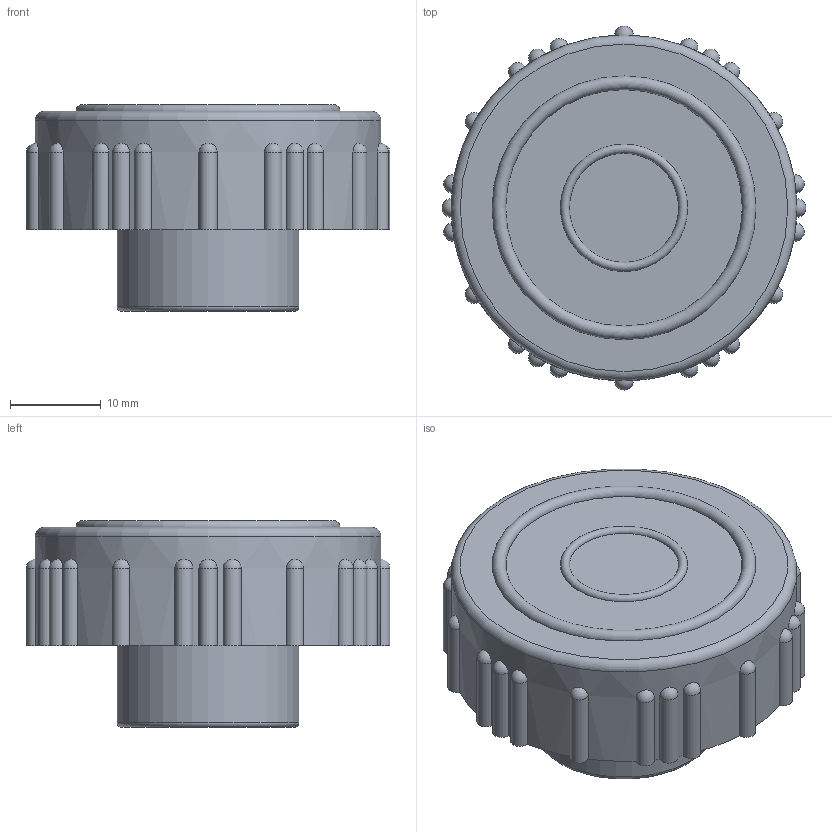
import cadquery as cq


hub_diameter = 20.0
hub_height = 9.0
hub_fillet = 0.5

head_diameter = 38.0
head_top = 22.0
head_fillet = 1.0

rib_radius = 1.0
rib_straight_length = 8.5
group_count = 6
group_pitch = 360.0 / group_count
rib_spacing = 8.0

outer_ring_radius = 13.75
outer_ring_section_radius = 0.75
inner_ring_radius = 6.5
inner_ring_section_radius = 0.5


def make_hub():
    hub = cq.Workplane("XY").circle(hub_diameter / 2).extrude(hub_height)
    return hub.faces("<Z").edges().fillet(hub_fillet)


def make_head():
    head = (
        cq.Workplane("XY")
        .workplane(offset=hub_height)
        .circle(head_diameter / 2)
        .extrude(head_top - hub_height)
    )
    return head.faces(">Z").edges().fillet(head_fillet)


def make_rib(angle):
    """Domed bar centred on the head's side wall, as one revolved profile."""
    dome_start = hub_height + rib_straight_length
    dome_tip = dome_start + rib_radius
    rib = (
        cq.Workplane("XZ")
        .moveTo(0, hub_height)
        .lineTo(rib_radius, hub_height)
        .lineTo(rib_radius, dome_start)
        .radiusArc((0, dome_tip), -rib_radius)
        .close()
        .revolve(360, (0, 0), (0, 1))
        .translate((head_diameter / 2, 0, 0))
    )
    return rib.rotate((0, 0, 0), (0, 0, 1), angle)


def make_ring(ring_radius, section_radius):
    """Torus whose upper half stands proud of the top face."""
    center = cq.Vector(0, 0, head_top)
    axis = cq.Vector(0, 0, 1)
    return cq.Workplane(cq.Solid.makeTorus(ring_radius, section_radius, center, axis))


result = make_hub().union(make_head())

for group in range(group_count):
    group_angle = group * group_pitch
    single_angle = group_angle + group_pitch / 2
    rib_angles = (group_angle - rib_spacing, group_angle, group_angle + rib_spacing, single_angle)
    for rib_angle in rib_angles:
        result = result.union(make_rib(rib_angle))

result = result.union(make_ring(outer_ring_radius, outer_ring_section_radius))
result = result.union(make_ring(inner_ring_radius, inner_ring_section_radius))